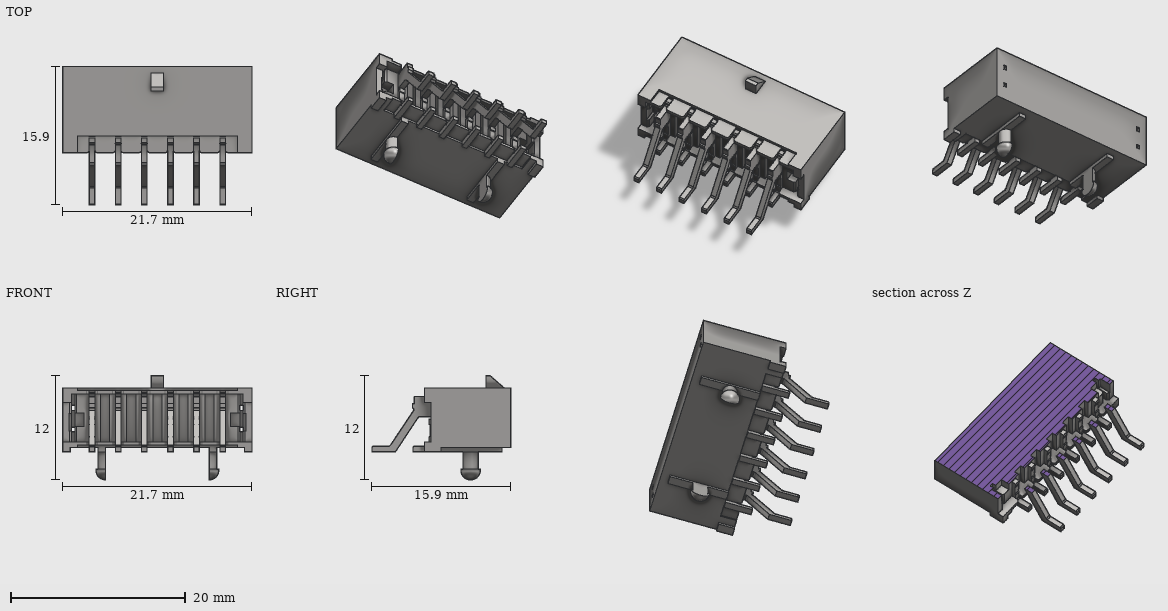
import cadquery as cq


OVERLAP = 0.1

LENGTH = 21.7
DEPTH = 9.9
TOP_Z = 7.33
BOTTOM_Z = 0.5

RECESS_LENGTH = 18.31
RECESS_DEPTH = 1.9
RECESS_HEIGHT = 0.3
UPPER_PLATE_TOP = TOP_Z - RECESS_HEIGHT
LOWER_PLATE_BOTTOM = BOTTOM_Z + RECESS_HEIGHT

CAVITY_LENGTH = 19.65
CAVITY_BOTTOM = 1.17
CAVITY_TOP = 6.62
CAVITY_DEPTH = 1.06
CAVITY_EDGE = CAVITY_LENGTH / 2
END_OPENING_TOP = 5.65
END_OPENING_DEPTH = 0.74

PIN_COUNT = 6
PITCH = 3.0
PIN_WIDTH = 0.65
FOOT_HEIGHT = 0.67
FOOT_CHAMFER = 0.13
PIN_XS = [(i - (PIN_COUNT - 1) / 2) * PITCH for i in range(PIN_COUNT)]
PLATE_CORNER_RADIUS = 0.3

CHANNEL_WIDTH = 1.05
CHANNEL_DEPTH = 0.56

GROOVE_WIDTH = 0.37
GROOVE_FLOOR_Y = 2.13
GROOVE_CHAMFER = 0.22
GROOVE_WELL_Y = 2.6
POCKET_WIDTH = 1.06
POCKET_Z = (2.93, 4.47)
NOTCH_WIDTH = 0.3
NOTCH_Z = (2.43, 4.4)
WINDOWS_Z = [(2.35, 2.82), (4.77, 5.34)]

LATCH_WIDTH = 1.43
LATCH_TOP_Z = 8.75
LATCH_FRONT_Y = 7.05
LATCH_CREST_Y = 7.53
LATCH_REAR_Y = 9.15

CORNER_FOOT_WIDTH = 0.9
PEG_FLAT_X = 5.92
PEG_Y = 5.3
PEG_RADIUS = 0.9
PEG_HEAD_RADIUS = 1.13
PEG_HEAD_RIM = 0.1
PEG_TIP_Z = -3.21
RAIL_END_Y = 8.92


def box(x, y, z):
    """Box between the pairs of limits x, y and z."""
    size = (x[1] - x[0], y[1] - y[0], z[1] - z[0])
    return cq.Workplane("XY").box(*size, centered=False).translate((x[0], y[0], z[0]))


def centred_box(length, y, z):
    """Box of the given length, centred on X = 0."""
    return box((-length / 2, length / 2), y, z)


def side_profile(points, width, x=0):
    """Outline of (y, z) points extruded symmetrically about the given X."""
    outline = cq.Workplane("YZ").polyline(points).close()
    return outline.extrude(width / 2, both=True).translate((x, 0, 0))


def mirror_pair(shape):
    """A shape together with its mirror image across X = 0."""
    return shape.union(shape.mirror("YZ"))


def housing_block():
    body = centred_box(LENGTH, (0, DEPTH), (BOTTOM_Z, TOP_Z))
    recess_y = (0, RECESS_DEPTH)
    body = body.cut(centred_box(RECESS_LENGTH, recess_y, (UPPER_PLATE_TOP, TOP_Z)))
    body = body.cut(centred_box(RECESS_LENGTH, recess_y, (BOTTOM_Z, LOWER_PLATE_BOTTOM)))
    body = body.cut(centred_box(CAVITY_LENGTH, (0, CAVITY_DEPTH), (CAVITY_BOTTOM, CAVITY_TOP)))
    return body.cut(centred_box(LENGTH, (0, END_OPENING_DEPTH), (CAVITY_BOTTOM, END_OPENING_TOP)))


def pin_slot(x):
    """Cutter for a slot in both plates, its mouth flared by the rounded plate corners."""
    half = PIN_WIDTH / 2
    r = PLATE_CORNER_RADIUS
    outline = (
        cq.Workplane("XY")
        .moveTo(-half - r, 0)
        .radiusArc((-half, r), -r)
        .lineTo(-half, RECESS_DEPTH)
        .lineTo(half, RECESS_DEPTH)
        .lineTo(half, r)
        .radiusArc((half + r, 0), -r)
        .close()
    )
    slot = outline.extrude(UPPER_PLATE_TOP - BOTTOM_Z).translate((x, 0, BOTTOM_Z))
    wall = centred_box(LENGTH, (CAVITY_DEPTH, DEPTH), (CAVITY_BOTTOM, CAVITY_TOP))
    return slot.cut(wall)


def channel(x):
    """Cutter for one channel in the cavity wall."""
    y = (CAVITY_DEPTH, CAVITY_DEPTH + CHANNEL_DEPTH)
    return box((x - CHANNEL_WIDTH / 2, x + CHANNEL_WIDTH / 2), y, (CAVITY_BOTTOM, CAVITY_TOP))


def end_groove():
    """Cutter for the +X groove with its chamfered mouth, side pockets, deeper well and windows."""
    outer = CAVITY_EDGE
    inner = outer - GROOVE_WIDTH
    outline = [
        (inner - GROOVE_CHAMFER, CAVITY_DEPTH),
        (inner, CAVITY_DEPTH + GROOVE_CHAMFER),
        (inner, GROOVE_FLOOR_Y),
        (outer, GROOVE_FLOOR_Y),
        (outer, CAVITY_DEPTH),
    ]
    groove = (
        cq.Workplane("XY").workplane(offset=CAVITY_BOTTOM)
        .polyline(outline).close().extrude(CAVITY_TOP - CAVITY_BOTTOM)
    )
    outer_chamfer = (
        cq.Workplane("XY").workplane(offset=CAVITY_BOTTOM)
        .moveTo(outer, END_OPENING_DEPTH)
        .lineTo(outer + GROOVE_CHAMFER, END_OPENING_DEPTH)
        .lineTo(outer, END_OPENING_DEPTH + GROOVE_CHAMFER)
        .close().extrude(END_OPENING_TOP - CAVITY_BOTTOM)
    )
    groove = groove.union(outer_chamfer)
    groove = groove.union(box((inner - POCKET_WIDTH, inner), (CAVITY_DEPTH, GROOVE_FLOOR_Y), POCKET_Z))
    groove = groove.union(box((outer, outer + NOTCH_WIDTH), (END_OPENING_DEPTH, GROOVE_FLOOR_Y), NOTCH_Z))
    well_z = (WINDOWS_Z[0][0], WINDOWS_Z[1][1])
    groove = groove.union(box((inner, outer), (CAVITY_DEPTH, GROOVE_WELL_Y), well_z))
    for window_z in WINDOWS_Z:
        groove = groove.union(box((inner, outer), (CAVITY_DEPTH, DEPTH), window_z))
    return groove


def latch():
    points = [
        (LATCH_FRONT_Y, TOP_Z - OVERLAP),
        (LATCH_FRONT_Y, LATCH_TOP_Z),
        (LATCH_CREST_Y, LATCH_TOP_Z),
        (LATCH_REAR_Y, TOP_Z),
        (LATCH_REAR_Y, TOP_Z - OVERLAP),
    ]
    return side_profile(points, LATCH_WIDTH)


def underside_supports():
    """Corner foot and peg rail of the +X half."""
    foot = box((LENGTH / 2 - CORNER_FOOT_WIDTH, LENGTH / 2), (0, RECESS_DEPTH), (0, BOTTOM_Z + OVERLAP))
    rail_x = (PEG_FLAT_X, PEG_FLAT_X + PEG_RADIUS)
    rail = box(rail_x, (RECESS_DEPTH, RAIL_END_Y), (0, BOTTOM_Z + OVERLAP))
    return foot.union(rail)


def peg():
    """Half-round locating peg of the +X half, flat towards the middle, with a domed head."""
    dome_z = PEG_TIP_Z + PEG_HEAD_RADIUS
    head_top_z = dome_z + PEG_HEAD_RIM
    return (
        cq.Workplane("XZ")
        .moveTo(0, OVERLAP)
        .lineTo(PEG_RADIUS, OVERLAP)
        .lineTo(PEG_RADIUS, head_top_z)
        .lineTo(PEG_HEAD_RADIUS, head_top_z)
        .lineTo(PEG_HEAD_RADIUS, dome_z)
        .radiusArc((0, PEG_TIP_Z), PEG_HEAD_RADIUS)
        .close()
        .revolve(180, (0, 0, 0), (0, 1, 0))
        .rotate((0, 0, 0), (0, 0, 1), -90)
        .translate((PEG_FLAT_X, PEG_Y, 0))
    )


def upper_pin(x):
    """Pin of the upper row: barb in the plate slot, blade, sloping leg and foot."""
    rear_y = 1.85
    blade_top_z = 6.38
    blade_bottom_z = 4.04
    barb_top_z = 6.84
    foot_tip_y = -6.01
    stepped_barb = [
        (1.71, UPPER_PLATE_TOP),
        (1.71, barb_top_z),
        (1.17, barb_top_z),
        (1.02, 6.68),
        (1.02, 6.53),
        (0.87, blade_top_z),
    ]
    blade_end = [
        (-1.08, blade_top_z),
        (-1.17, 6.3),
        (-1.17, 5.53),
        (-1.39, 5.53),
        (-1.39, 5.08),
    ]
    leg_and_foot = [
        (-3.88, 0.8),
        (-4.05, FOOT_HEIGHT),
        (foot_tip_y + FOOT_CHAMFER, FOOT_HEIGHT),
        (foot_tip_y, FOOT_HEIGHT - FOOT_CHAMFER),
        (foot_tip_y, 0),
        (-3.32, 0),
        (-0.8, 3.82),
        (-0.6, blade_bottom_z),
        (rear_y, blade_bottom_z),
    ]
    outline = cq.Workplane("YZ").moveTo(rear_y, UPPER_PLATE_TOP)
    for point in stepped_barb + blade_end:
        outline = outline.lineTo(*point)
    outline = outline.threePointArc((-1.25, 4.95), (-1.24, 4.77))
    for point in leg_and_foot:
        outline = outline.lineTo(*point)
    return outline.close().extrude(PIN_WIDTH / 2, both=True).translate((x, 0, 0))


def lower_pin(x):
    """Pin of the lower row: upright with a shallow notch, standing on a short foot."""
    foot_tip_y = -1.32
    front_y = 0.52
    notch_y = 0.63
    top_z = 3.75
    points = [
        (RECESS_DEPTH, top_z),
        (front_y, top_z),
        (front_y, 3.15),
        (notch_y, 3.15),
        (notch_y, 1.8),
        (front_y, 1.7),
        (front_y, 0.8),
        (0.4, FOOT_HEIGHT),
        (foot_tip_y + FOOT_CHAMFER, FOOT_HEIGHT),
        (foot_tip_y, FOOT_HEIGHT - FOOT_CHAMFER),
        (foot_tip_y, 0),
        (RECESS_DEPTH, 0),
    ]
    return side_profile(points, PIN_WIDTH, x)


housing = housing_block()
for pin_x in PIN_XS:
    housing = housing.cut(pin_slot(pin_x))
for pin_x in PIN_XS[:-1]:
    housing = housing.cut(channel(pin_x + PITCH / 2))
housing = housing.cut(mirror_pair(end_groove()))

result = housing.union(latch())
result = result.union(mirror_pair(underside_supports().union(peg())))
for pin_x in PIN_XS:
    result = result.union(upper_pin(pin_x)).union(lower_pin(pin_x))